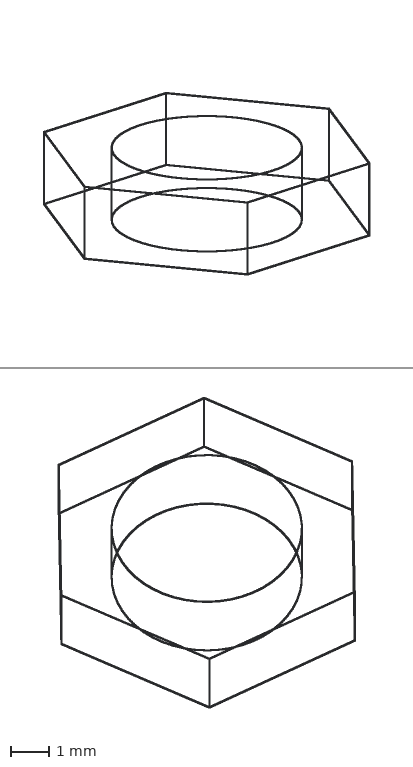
import cadquery as cq
import math

overall_width = 8.75
thickness = 2.0
bore_diameter = 5.0
turn_angle = 10.3

corner_diameter = overall_width / math.cos(math.radians(turn_angle))

hexagon = cq.Workplane("XY").polygon(6, corner_diameter).extrude(thickness)
bored_nut = hexagon.faces(">Z").workplane().hole(bore_diameter)

result = bored_nut.rotate((0, 0, 0), (0, 0, 1), turn_angle)